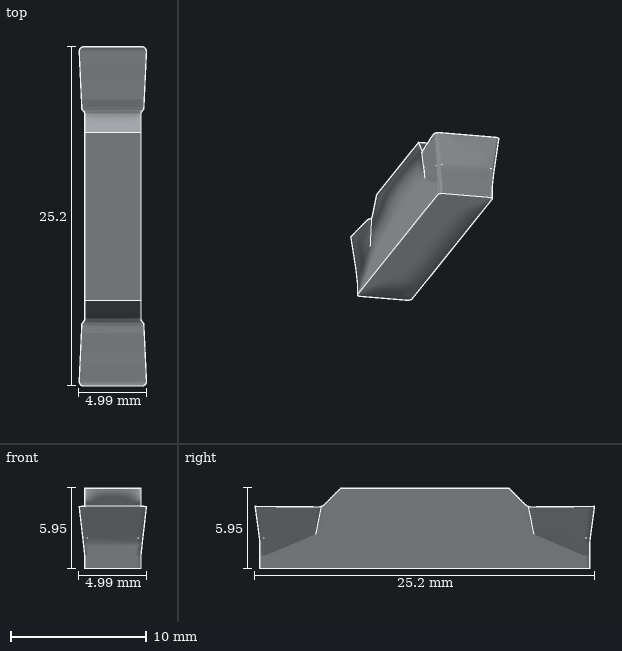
import cadquery as cq
import math

length = 25.15
body_width = 4.17
height = 5.95
max_head_width = 5.0
half_length = length / 2
half_body = body_width / 2

tip_z = 4.63
outer_floor_z = 4.6
inner_floor_z = 4.593
dip_z = 4.58
edge_rise_depth = 0.38
step_start_depth = 1.43
step_end_depth = 2.5
dip_start_depth = 3.92
dip_end_depth = 4.47
ramp_blend_depth = 4.7
ramp_blend_radius = 0.63
ramp_angle = math.radians(45)

foot_depth = 0.35
foot_top_z = 1.75
relief_start_z = 2.26

corner_radius = 0.38
flank_start_z = 0.9
flank_start_depth = 0.65
flank_end_z = 2.55
flank_end_depth = 4.5
neck_corner_depth = 4.63
neck_depth = 4.9
neck_corner_radius = 0.1
head_core_half = 1.0

flank_run_ratio = (flank_end_z - flank_start_z) / (flank_end_depth - flank_start_depth)
flank_draft = (max_head_width / 2 - half_body) / (
    tip_z - flank_start_z + flank_run_ratio * (flank_start_depth - corner_radius)
)
flank_taper = flank_draft * flank_run_ratio


def flank_half_width(depth, z):
    """Half width of the head flank plane at a given depth and height."""
    return half_body + flank_draft * (z - flank_start_z) - flank_taper * (depth - flank_start_depth)


def make_profile():
    """Full lengthwise outline, extruded past both sides of the head."""
    blend_run = ramp_blend_radius * math.sin(ramp_angle)
    blend_rise = ramp_blend_radius * (1 - math.cos(ramp_angle))
    ramp_start_depth = ramp_blend_depth + blend_run
    ramp_start_z = dip_z + blend_rise
    ramp_top_depth = ramp_start_depth + (height - ramp_start_z) / math.tan(ramp_angle)
    level = [(1, 0), (1, 0)]

    half_arc_height = (relief_start_z - foot_top_z) / 2
    relief_slope = foot_depth / (half_arc_height + tip_z - relief_start_z)
    relief_start_depth = relief_slope * (tip_z - relief_start_z)

    half = (
        cq.Workplane("YZ")
        .moveTo(half_length, 0)
        .lineTo(foot_depth, 0)
        .lineTo(foot_depth, foot_top_z)
        .tangentArcPoint((relief_start_depth, relief_start_z), relative=False)
        .lineTo(0, tip_z)
        .threePointArc(
            (edge_rise_depth / 2, outer_floor_z + (tip_z - outer_floor_z) / 4),
            (edge_rise_depth, outer_floor_z),
        )
        .lineTo(step_start_depth, outer_floor_z)
        .spline([(step_end_depth, inner_floor_z)], tangents=level, includeCurrent=True)
        .lineTo(dip_start_depth, inner_floor_z)
        .spline([(dip_end_depth, dip_z)], tangents=level, includeCurrent=True)
        .lineTo(ramp_blend_depth, dip_z)
        .tangentArcPoint((ramp_start_depth, ramp_start_z), relative=False)
        .lineTo(ramp_top_depth, height)
        .lineTo(half_length, height)
        .close()
        .extrude(2 * max_head_width)
    )
    return half.translate((-max_head_width, -half_length, 0))


def head_outline(z):
    """Plan points of the head wedge at a height: tip, neck corner, neck core and mirror images."""
    top_fraction = (z - flank_end_z) / (dip_z - flank_end_z)
    corner_depth = flank_end_depth + top_fraction * (neck_corner_depth - flank_end_depth)
    corner_half = flank_half_width(corner_depth, z)

    corner_top_half = flank_half_width(neck_corner_depth, dip_z)
    neck_slope = (neck_depth - neck_corner_depth) / (corner_top_half - half_body)
    core_depth = corner_depth + neck_slope * (corner_half - head_core_half)

    right_side = [
        (flank_half_width(0, z), -half_length),
        (corner_half, corner_depth - half_length),
        (head_core_half, core_depth - half_length),
    ]
    left_side = [(-x, y) for x, y in reversed(right_side)]
    return right_side + left_side


def round_end_corners(solid):
    """Fillet the rising edges at both sides of the -Y end face."""
    end_zone = cq.selectors.BoxSelector(
        (-max_head_width, -half_length - foot_depth, 0),
        (max_head_width, -half_length + foot_depth + corner_radius / 2, tip_z - corner_radius / 2),
    )
    return solid.edges(end_zone).edges("not(|X or #Z)").fillet(corner_radius)


def make_head(profile):
    """Tapered head at the -Y end with rounded end and neck corners."""
    wedge = (
        cq.Workplane("XY")
        .polyline(head_outline(0)).close()
        .workplane(offset=height)
        .polyline(head_outline(height)).close()
        .loft(ruled=True)
    )
    middle_z = height / 2
    corner_x, corner_y = head_outline(middle_z)[1]
    for side in (-1, 1):
        neck_corner = cq.selectors.NearestToPointSelector((side * corner_x, corner_y, middle_z))
        wedge = wedge.edges(neck_corner).fillet(neck_corner_radius)
    head = wedge.intersect(profile)
    return round_end_corners(head)


def make_body(profile):
    """Half of the straight-sided body, with its end corners rounded."""
    slab = cq.Workplane("XY").box(body_width, length, height, centered=(True, True, False))
    body = slab.intersect(profile)
    return round_end_corners(body)


half_profile = make_profile()
half_part = make_body(half_profile).union(make_head(half_profile))
result = half_part.union(half_part.mirror("XZ")).clean()